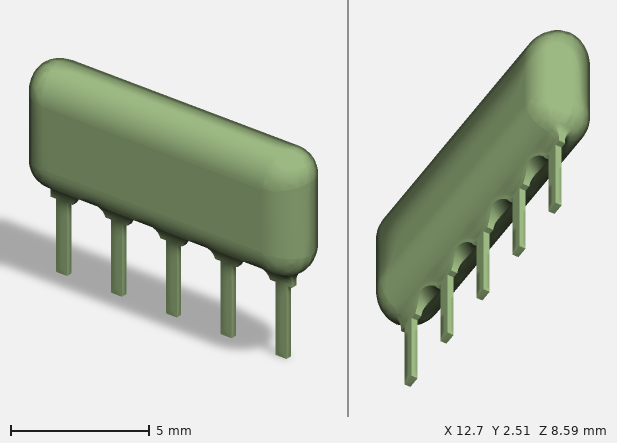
import cadquery as cq

body_length = 12.7
body_thickness = 2.51
body_height = 5.08
corner_radius = 1.02
crest_flat = 0.005
edge_radius = (body_thickness - crest_flat) / 2

lead_count = 5
lead_pitch = 2.54
lead_width = 0.51
lead_thickness = 0.25
overall_height = 8.59

neck_drop = 0.51
pad_width = 1.02
neck_fillet = 0.5
scallop_rise = 0.5

body_bottom = -body_height / 2
pad_bottom = body_bottom - neck_drop
lead_bottom = body_height / 2 - overall_height
lead_row_length = (lead_count - 1) * lead_pitch
neck_length = lead_row_length + pad_width
lead_positions = [i * lead_pitch - lead_row_length / 2 for i in range(lead_count)]


def upright_block(center_x, length, bottom, top):
    """Block as thick as a lead, centred on Y = 0."""
    block = cq.Workplane("XY").box(length, lead_thickness, top - bottom, centered=(True, True, False))
    return block.translate((center_x, 0, bottom))


def rounded_body():
    """Round the upright outline, then both large faces, to a nearly full round."""
    block = cq.Workplane("XY").box(body_length, body_thickness, body_height)
    rounded = block.edges("|Y").fillet(corner_radius)
    return rounded.faces("<Y or >Y").edges().fillet(edge_radius)


def add_neck(body):
    """Join the neck to the body with a concave fillet all around its root."""
    body_middle = 0
    joined = body.union(upright_block(0, neck_length, pad_bottom, body_middle))
    margin = 0.01
    half_length = neck_length / 2 + margin
    half_thickness = lead_thickness / 2 + margin
    root_region = cq.selectors.BoxSelector(
        (-half_length, -half_thickness, body_bottom - margin),
        (half_length, half_thickness, body_bottom + lead_thickness / 2),
        boundingbox=True,
    )
    return joined.edges(root_region).fillet(neck_fillet)


def scallop(center_x):
    """Arched cutter between two neighbouring pads."""
    half_chord = (lead_pitch - pad_width) / 2
    arch_top = (center_x, pad_bottom + scallop_rise)
    return (
        cq.Workplane("XZ")
        .moveTo(center_x - half_chord, pad_bottom)
        .threePointArc(arch_top, (center_x + half_chord, pad_bottom))
        .close()
        .extrude(body_thickness / 2, both=True)
    )


result = add_neck(rounded_body())

for lead_x in lead_positions[:-1]:
    result = result.cut(scallop(lead_x + lead_pitch / 2))

for lead_x in lead_positions:
    result = result.union(upright_block(lead_x, lead_width, lead_bottom, body_bottom))